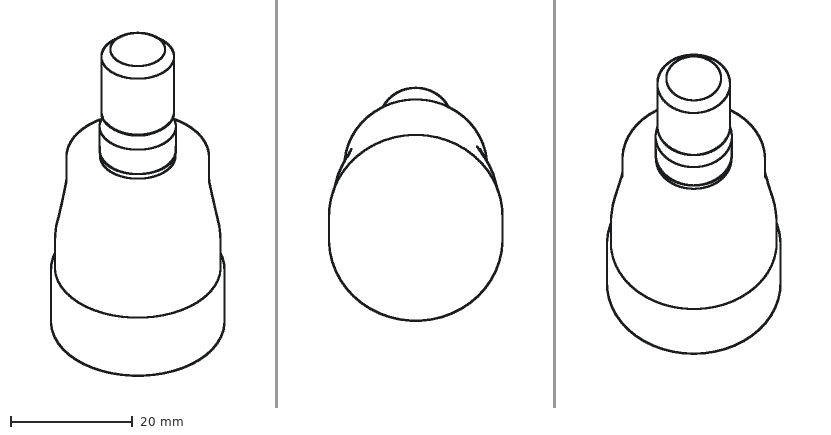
import cadquery as cq

base_radius = 14.28
base_height = 11.9
base_top_fillet = 0.5
base_bottom_fillet = 0.75
barrel_radius = 13.6
shoulder_radius = 11.75
barrel_blend_bottom = 17.7
shoulder_blend_top = 30.0
blend_height = 1.75
housing_height = 35.0
housing_top_fillet = 0.3

total_height = 57.0
shaft_radius = 6.0
shaft_chamfer = 1.5
neck_radius = 4.8
neck_fillet = 0.8
collar_radius = 6.25
collar_bottom = 35.95
collar_top = 41.05
undercut_top = 44.0
undercut_edge_radius = 0.2
groove_radius = 6.0
groove_depth = 0.2
groove_arc_height = 0.45


def make_housing():
    """Turned body: a wide base, a barrel, and a taper blended into the shoulder."""
    taper_drop = shoulder_blend_top - barrel_blend_bottom - blend_height
    slope = (barrel_radius - shoulder_radius) / taper_drop
    blend_offset = slope * blend_height / 2
    taper_bottom = (barrel_radius - blend_offset, barrel_blend_bottom + blend_height)
    taper_top = (shoulder_radius + blend_offset, shoulder_blend_top - blend_height)
    profile = (
        cq.Workplane("XZ")
        .lineTo(base_radius, 0)
        .lineTo(base_radius, base_height)
        .lineTo(barrel_radius, base_height)
        .lineTo(barrel_radius, barrel_blend_bottom)
        .tangentArcPoint(taper_bottom, relative=False)
        .lineTo(*taper_top)
        .tangentArcPoint((shoulder_radius, shoulder_blend_top), relative=False)
        .lineTo(shoulder_radius, housing_height)
        .lineTo(0, housing_height)
        .close()
    )
    housing = profile.revolve(360, (0, 0, 0), (0, 1, 0))
    housing = housing.faces(">Z").edges().fillet(housing_top_fillet)
    housing = housing.faces("<Z").edges().fillet(base_bottom_fillet)
    base_rim = cq.selectors.RadiusNthSelector(-1)
    return housing.edges("%CIRCLE").edges(base_rim).edges(">Z").fillet(base_top_fillet)


def make_stud():
    """Turned stud standing on the housing: groove, collar, filleted neck and chamfered shaft."""
    groove_arc = (groove_arc_height**2 + groove_depth**2) / (2 * groove_depth)
    groove_lip = groove_radius + groove_depth
    wall_bottom = housing_height + groove_arc_height
    wall_top = collar_bottom - groove_arc_height
    undercut_bottom = undercut_top - (shaft_radius - neck_radius)
    fillet_edge = neck_radius + neck_fillet
    profile = (
        cq.Workplane("XZ")
        .moveTo(0, housing_height)
        .lineTo(groove_lip, housing_height)
        .radiusArc((groove_radius, wall_bottom), groove_arc)
        .lineTo(groove_radius, wall_top)
        .radiusArc((groove_lip, collar_bottom), groove_arc)
        .lineTo(collar_radius, collar_bottom)
        .lineTo(collar_radius, collar_top)
        .lineTo(fillet_edge, collar_top)
        .radiusArc((neck_radius, collar_top + neck_fillet), neck_fillet)
        .lineTo(neck_radius, undercut_bottom)
        .lineTo(shaft_radius - undercut_edge_radius, undercut_top - undercut_edge_radius)
        .radiusArc((shaft_radius, undercut_top), -undercut_edge_radius)
        .lineTo(shaft_radius, total_height - shaft_chamfer)
        .lineTo(shaft_radius - shaft_chamfer, total_height)
        .lineTo(0, total_height)
        .close()
    )
    return profile.revolve(360, (0, 0, 0), (0, 1, 0))


housing = make_housing()
stud = make_stud()
result = cq.Compound.makeCompound([housing.val(), stud.val()])